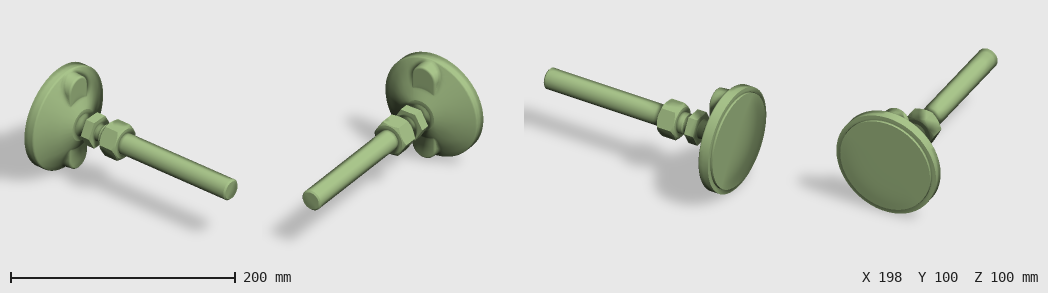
import cadquery as cq
import math


pad_diameter = 90.0
pad_projection = 2.0
pad_seat_depth = 2.0

housing_diameter = 100.0
pad_recess_diameter = 91.0
rim_fillet_radius = 2.0
housing_end_x = 29.0
housing_end_diameter = 30.5
cone_angle = 63.8

lug_count = 2
lug_center_radius = 35.2
lug_end_radius = 12.5
lug_end_x = 24.0
lug_root_x = 9.9
lug_draft = 5.0
lug_end_fillet_radius = 2.0
lug_root_fillet_radius = 2.0

neck_diameter = 17.5
neck_flare_radius = 5.0
neck_flare_length = 4.2
hex_start_x = 38.6
hex_length = 9.1
hex_across_flats = 27.1
neck_hex_fillet_radius = 0.5
relief_diameter = 16.0
relief_fillet_radius = 0.8
shaft_diameter = 20.0
shaft_start_x = 53.0
shaft_lead_in = 1.0
shaft_end_chamfer = 1.4

nut_start_x = 59.0
nut_length = 18.0
nut_across_flats = 30.0
nut_face_diameter = 28.5
nut_chamfer_angle = 35.0
nut_turn = -2.0

hexagon_flat_ratio = math.cos(math.pi / 6)
total_length = 198.0
housing_start_x = pad_projection
recess_floor_x = pad_projection + pad_seat_depth
lug_root_margin = 6.0
tolerance = 0.02


def disc(diameter, start_x, length):
    """Cylinder along X."""
    return cq.Workplane("YZ", origin=(start_x, 0, 0)).circle(diameter / 2).extrude(length)


def hexagon(across_flats, start_x, length):
    """Hexagonal prism along X, with two corners on the Y axis."""
    corner_diameter = across_flats / hexagon_flat_ratio
    return cq.Workplane("YZ", origin=(start_x, 0, 0)).polygon(6, corner_diameter).extrude(length)


def turned(outline):
    """Solid of revolution about X from an outline drawn in X and radius."""
    return outline.close().revolve(360, (0, 0, 0), (1, 0, 0))


def make_pad():
    """Flat disc with a narrow gap around it in the housing's recess."""
    return disc(pad_diameter, 0, recess_floor_x)


def make_housing_cone():
    """Disc with a filleted rim that tapers to a flat end, recessed for the pad."""
    rim_radius = housing_diameter / 2
    end_radius = housing_end_diameter / 2
    cone_length = (rim_radius - end_radius) / math.tan(math.radians(cone_angle))
    cone_start_x = housing_end_x - cone_length
    cone = turned(
        cq.Workplane("XY")
        .moveTo(housing_start_x, 0)
        .lineTo(housing_start_x, rim_radius)
        .lineTo(cone_start_x, rim_radius)
        .lineTo(housing_end_x, end_radius)
        .lineTo(housing_end_x, 0)
    )
    rim_edge = cq.selectors.RadiusNthSelector(-1)
    cone = cone.edges(rim_edge).edges(">X").fillet(rim_fillet_radius)
    return cone.cut(disc(pad_recess_diameter, housing_start_x, pad_seat_depth))


def make_lug():
    """Drafted lug with a round outer end and straight sides that run into the cone."""
    inner_z = housing_end_diameter / 2
    return (
        cq.Workplane("YZ", origin=(lug_end_x, 0, 0))
        .moveTo(-lug_end_radius, inner_z)
        .lineTo(-lug_end_radius, lug_center_radius)
        .threePointArc((0, lug_center_radius + lug_end_radius), (lug_end_radius, lug_center_radius))
        .lineTo(lug_end_radius, inner_z)
        .close()
        .extrude(lug_root_x - lug_end_x, taper=-lug_draft)
    )


def edges_around_lug(start_x, end_x):
    """Selector for edges centered near the +Z lug, between two places along X."""
    half_width = lug_end_radius + lug_root_margin
    inner_z = lug_center_radius - half_width
    outer_z = lug_center_radius + half_width
    return cq.selectors.BoxSelector((start_x, -half_width, inner_z), (end_x, half_width, outer_z))


def add_lug(housing):
    """Join a lug on the +Z side, then round its end and blend its root into the cone."""
    housing = housing.union(make_lug())
    cone_join = cq.selectors.BoxSelector(
        (lug_end_x - tolerance, -tolerance, 0), (lug_end_x + tolerance, tolerance, lug_center_radius)
    )
    end_edges = edges_around_lug(lug_end_x - tolerance, lug_end_x + tolerance) - cone_join
    housing = housing.edges(end_edges).fillet(lug_end_fillet_radius)
    root_edges = edges_around_lug(lug_root_x + rim_fillet_radius, lug_end_x - tolerance)
    curved = cq.StringSyntaxSelector("%HYPERBOLA or %BSPLINE")
    return housing.edges(root_edges).edges(curved).fillet(lug_root_fillet_radius)


def make_housing():
    """Recessed cone with lugs spaced evenly around it."""
    housing = make_housing_cone()
    for _ in range(lug_count):
        housing = add_lug(housing).rotate((0, 0, 0), (1, 0, 0), 360 / lug_count)
    return housing


def circles_at(x, radius):
    """Selector for circles around the X axis at x, up to the given radius."""
    reach = radius + tolerance
    return cq.selectors.BoxSelector((x - tolerance, -reach, -reach), (x + tolerance, reach, reach), True)


def make_spindle():
    """Flared neck, hexagon, relief groove and shaft in one piece."""
    neck_radius = neck_diameter / 2
    relief_radius = relief_diameter / 2
    neck_start_x = housing_end_x + neck_flare_length
    hex_end_x = hex_start_x + hex_length
    flare_center_radius = neck_radius + neck_flare_radius

    def flare_radius(x):
        """Radius of the concave flare at a place along X."""
        return flare_center_radius - math.sqrt(neck_flare_radius**2 - (neck_start_x - x) ** 2)

    flare_middle_x = (housing_end_x + neck_start_x) / 2
    neck = turned(
        cq.Workplane("XY")
        .moveTo(housing_end_x, 0)
        .lineTo(housing_end_x, flare_radius(housing_end_x))
        .threePointArc((flare_middle_x, flare_radius(flare_middle_x)), (neck_start_x, neck_radius))
        .lineTo(hex_start_x, neck_radius)
        .lineTo(hex_start_x, 0)
    )

    relief = disc(relief_diameter, hex_end_x, shaft_start_x - hex_end_x)
    shaft = disc(shaft_diameter, shaft_start_x, total_length - shaft_start_x)
    shaft = shaft.faces(">X").chamfer(shaft_end_chamfer).faces("<X").chamfer(shaft_lead_in)

    hex_section = hexagon(hex_across_flats, hex_start_x, hex_length)
    spindle = neck.union(hex_section).union(relief).union(shaft)
    spindle = spindle.edges(circles_at(hex_start_x, neck_radius)).fillet(neck_hex_fillet_radius)
    relief_ends = circles_at(hex_end_x, relief_radius) + circles_at(shaft_start_x, relief_radius)
    return spindle.edges(relief_ends).fillet(relief_fillet_radius)


def make_nut():
    """Hexagon nut with cone chamfers at both ends, bored to fit the shaft."""
    nut_end_x = nut_start_x + nut_length
    corner_radius = nut_across_flats / 2 / hexagon_flat_ratio
    face_radius = nut_face_diameter / 2
    chamfer_length = (corner_radius - face_radius) * math.tan(math.radians(nut_chamfer_angle))
    envelope = turned(
        cq.Workplane("XY")
        .moveTo(nut_start_x, 0)
        .lineTo(nut_start_x, face_radius)
        .lineTo(nut_start_x + chamfer_length, corner_radius)
        .lineTo(nut_end_x - chamfer_length, corner_radius)
        .lineTo(nut_end_x, face_radius)
        .lineTo(nut_end_x, 0)
    )
    nut = hexagon(nut_across_flats, nut_start_x, nut_length).intersect(envelope)
    nut = nut.cut(disc(shaft_diameter, nut_start_x, nut_length))
    return nut.rotate((0, 0, 0), (1, 0, 0), nut_turn)


pad = make_pad()
housing = make_housing()
spindle = make_spindle()
nut = make_nut()

result = cq.Compound.makeCompound([pad.val(), housing.val(), spindle.val(), nut.val()])